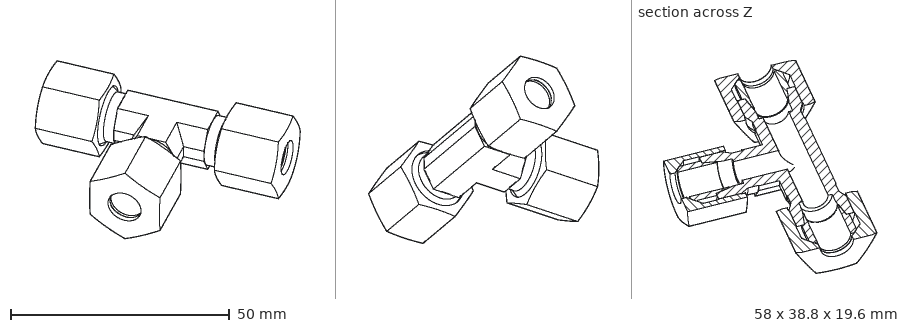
import cadquery as cq
import math

arm_length = 29.0
run_headings = (0, 180)
branch_heading = -90
branch_nut_roll = 30
arms = [(heading, 0) for heading in run_headings] + [(branch_heading, branch_nut_roll)]

tube_radius = 4.0
bore_radius = 3.0
tube_stop = 14.0

block_half_width = 6.0
block_half_depth = 6.05
block_reach = 10.95
neck_radius = 5.85
thread_radius = 7.0
runout_start = 13.5
runout_angle = 30
stub_end = 21.0
cone_half_angle = 12
cone_mouth_radius = 5.0

nut_across_flats = 17.0
nut_start = 14.5
nut_bevel_angle = 15
nut_lip = 1.3

ring_gap = 0.7
ring_collar_radius = 5.8
ring_length = 9.5

cone_slope = math.tan(math.radians(cone_half_angle))
cone_length = (cone_mouth_radius - tube_radius) / cone_slope
runout_length = (thread_radius - neck_radius) / math.tan(math.radians(runout_angle))
shoulder_start = arm_length - nut_lip
ring_outer_end = shoulder_start - ring_gap
ring_tip = ring_outer_end - ring_length


def revolve_about_arm(profile):
    """Solid of revolution about X from (position along the arm, radius) points."""
    return cq.Workplane("XY").polyline(profile).close().revolve(360, (0, 0), (1, 0))


def place_on_arm(shape, heading, roll=0):
    """Roll a shape about its arm, then swing the arm to its heading."""
    rolled = shape.rotate((0, 0, 0), (1, 0, 0), roll)
    return rolled.rotate((0, 0, 0), (0, 0, 1), heading)


def make_block_arm():
    """Hexagonal bar with its two side corners cut off flat."""
    flat_half = block_half_width / math.sqrt(3)
    side_half = 2 * block_half_width - math.sqrt(3) * block_half_depth
    quarter = [(block_half_depth, side_half), (flat_half, block_half_width)]
    upper = quarter + [(-y, z) for y, z in reversed(quarter)]
    lower = [(-y, -z) for y, z in upper]
    return cq.Workplane("YZ").polyline(upper + lower).close().extrude(block_reach)


def make_stub():
    """Neck that widens to the threaded end, the thread shown as a plain cylinder."""
    return revolve_about_arm([
        (0, 0),
        (0, neck_radius),
        (runout_start, neck_radius),
        (runout_start + runout_length, thread_radius),
        (stub_end, thread_radius),
        (stub_end, 0),
    ])


def make_arm_bore():
    """Through bore, tube socket and sealing cone."""
    return revolve_about_arm([
        (0, 0),
        (0, bore_radius),
        (tube_stop, bore_radius),
        (tube_stop, tube_radius),
        (stub_end - cone_length, tube_radius),
        (stub_end, cone_mouth_radius),
        (stub_end, 0),
    ])


def make_tee_body():
    block_arm = make_block_arm()
    stub = make_stub()
    arm_bore = make_arm_bore()
    body = place_on_arm(block_arm, branch_heading)
    for heading in run_headings:
        body = body.union(place_on_arm(block_arm, heading))
    for heading, _ in arms:
        body = body.union(place_on_arm(stub, heading))
    for heading, _ in arms:
        body = body.cut(place_on_arm(arm_bore, heading))
    return body


def make_nut():
    """Hexagon nut with both ends bevelled, a thread bore and a 45 degree shoulder."""
    flat_radius = nut_across_flats / 2
    corner_radius = flat_radius / math.cos(math.pi / 6)
    bevel = (corner_radius - flat_radius) * math.tan(math.radians(nut_bevel_angle))
    hexagon = (
        cq.Workplane("YZ", origin=(nut_start, 0, 0))
        .polygon(6, 2 * corner_radius)
        .extrude(arm_length - nut_start)
    )
    envelope = revolve_about_arm([
        (nut_start, 0),
        (nut_start, flat_radius),
        (nut_start + bevel, corner_radius),
        (arm_length - bevel, corner_radius),
        (arm_length, flat_radius),
        (arm_length, 0),
    ])
    shoulder_length = thread_radius - tube_radius
    hole = revolve_about_arm([
        (nut_start, 0),
        (nut_start, thread_radius),
        (shoulder_start - shoulder_length, thread_radius),
        (shoulder_start, tube_radius),
        (arm_length, tube_radius),
        (arm_length, 0),
    ])
    return hexagon.intersect(envelope).cut(hole)


def make_cutting_ring():
    """Ring wedged between the sealing cone of the body and the shoulder of the nut."""
    outer_end_radius = tube_radius + ring_gap
    tip_radius = cone_mouth_radius - (stub_end - ring_tip) * cone_slope
    collar_end = ring_outer_end - (ring_collar_radius - outer_end_radius)
    return revolve_about_arm([
        (ring_tip, tube_radius),
        (ring_tip, tip_radius),
        (stub_end, cone_mouth_radius),
        (stub_end, ring_collar_radius),
        (collar_end, ring_collar_radius),
        (ring_outer_end, outer_end_radius),
        (ring_outer_end, tube_radius),
    ])


tee_body = make_tee_body()
nut = make_nut()
cutting_ring = make_cutting_ring()
nuts = [place_on_arm(nut, heading, roll) for heading, roll in arms]
cutting_rings = [place_on_arm(cutting_ring, heading) for heading, _ in arms]

result = cq.Compound.makeCompound([
    tee_body.val(),
    *[placed_nut.val() for placed_nut in nuts],
    *[placed_ring.val() for placed_ring in cutting_rings],
])